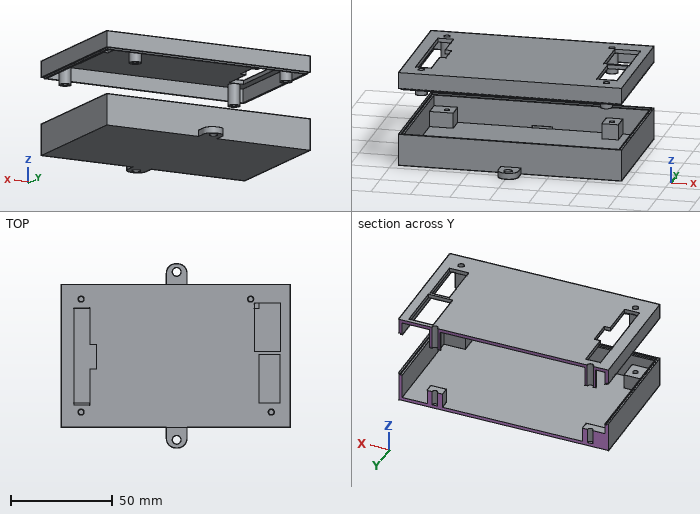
import cadquery as cq

BOX_LENGTH = 113.0
BOX_WIDTH = 70.6
WALL = 2.0
STEP_WIDTH = WALL / 2
STEP_HEIGHT = 0.8
TOTAL_HEIGHT = 48.0

LEFT_SCREW_X = 9.8
BACK_RIGHT_SCREW_X = 93.5
FRONT_RIGHT_SCREW_X = 103.6
FRONT_SCREW_Y = 7.6
BACK_SCREW_Y = 63.3
SCREW_POINTS = [
    (LEFT_SCREW_X, FRONT_SCREW_Y),
    (LEFT_SCREW_X, BACK_SCREW_Y),
    (BACK_RIGHT_SCREW_X, BACK_SCREW_Y),
    (FRONT_RIGHT_SCREW_X, FRONT_SCREW_Y),
]

TRAY_HEIGHT = 16.0
BLOCK_TOP = 9.8
BLOCK_REACH_X = 4.2
BLOCK_REACH_Y = 4.5
PILOT_DIAMETER = 2.6

TAB_CENTER_X = 57.0
TAB_WIDTH = 10.3
TAB_LENGTH = 10.2
TAB_THICKNESS = 3.2
TAB_INNER_LEDGE = 0.2
TAB_CORNER_RADIUS = 4.7
TAB_HOLE_DIAMETER = 4.2
TAB_HOLE_FROM_TIP = 4.1

LID_HEIGHT = 8.2
LID_SHOULDER_Z = TOTAL_HEIGHT - LID_HEIGHT
LID_CEILING_Z = TOTAL_HEIGHT - WALL
POST_DIAMETER = 6.0
POST_DROP = 4.4
CLEARANCE_DIAMETER = 3.0

LEFT_WINDOW = (6.2, 14.1, 11.0, 59.0)
KEY_NOTCH = (14.1, 17.3, 28.8, 41.0)
BACK_RIGHT_WINDOW = (95.3, 108.3, 37.4, 61.4)
FRONT_RIGHT_WINDOW = (97.6, 107.9, 12.1, 35.9)


def block(x_start, x_end, y_start, y_end, z_start, z_end):
    """Box given by its limits along each axis."""
    size = (x_end - x_start, y_end - y_start, z_end - z_start)
    return cq.Workplane("XY").box(*size, centered=False).translate((x_start, y_start, z_start))


def inset_block(inset, z_start, z_end):
    """Box with the outline of the enclosure, drawn in by an inset on all four sides."""
    return block(inset, BOX_LENGTH - inset, inset, BOX_WIDTH - inset, z_start, z_end)


def screw_cylinders(diameter, z_start, z_end):
    """One upright cylinder on each screw axis."""
    plane = cq.Workplane("XY").workplane(offset=z_start)
    return plane.pushPoints(SCREW_POINTS).circle(diameter / 2).extrude(z_end - z_start)


def screw_block(x, y):
    """Tray block under one screw, merged with the floor and the walls it stands against."""
    x_start = x - BLOCK_REACH_X
    x_end = x + BLOCK_REACH_X
    y_start = y - BLOCK_REACH_Y
    y_end = y + BLOCK_REACH_Y
    if x == LEFT_SCREW_X:
        x_start = 0
    if x == FRONT_RIGHT_SCREW_X:
        x_end = BOX_LENGTH
    if y == FRONT_SCREW_Y:
        y_start = 0
    else:
        y_end = BOX_WIDTH
    return block(x_start, x_end, y_start, y_end, 0, BLOCK_TOP)


def front_tab():
    """Mounting tab with a rounded tip, whose root passes through the front wall."""
    x_start = TAB_CENTER_X - TAB_WIDTH / 2
    x_end = TAB_CENTER_X + TAB_WIDTH / 2
    tab = block(x_start, x_end, -TAB_LENGTH, WALL + TAB_INNER_LEDGE, 0, TAB_THICKNESS)
    tab = tab.edges("|Z and <Y").fillet(TAB_CORNER_RADIUS)
    hole = (
        cq.Workplane("XY")
        .center(TAB_CENTER_X, TAB_HOLE_FROM_TIP - TAB_LENGTH)
        .circle(TAB_HOLE_DIAMETER / 2)
        .extrude(TAB_THICKNESS)
    )
    return tab.cut(hole)


def make_tray():
    """Open tray with a stepped rim, four screw blocks and two mounting tabs."""
    tray = inset_block(0, 0, TRAY_HEIGHT)
    tray = tray.cut(inset_block(WALL, WALL, TRAY_HEIGHT))
    tray = tray.cut(inset_block(STEP_WIDTH, TRAY_HEIGHT - STEP_HEIGHT, TRAY_HEIGHT))
    for x, y in SCREW_POINTS:
        tray = tray.union(screw_block(x, y))
    tray = tray.cut(screw_cylinders(PILOT_DIAMETER, WALL, BLOCK_TOP))
    tab = front_tab()
    mirror_point = (0, BOX_WIDTH / 2, 0)
    return tray.union(tab).union(tab.mirror("XZ", mirror_point))


def make_lid():
    """Hollow lid with a lip, four drilled posts and three windows."""
    lip_bottom = LID_SHOULDER_Z - STEP_HEIGHT
    post_bottom = LID_SHOULDER_Z - POST_DROP
    lid = inset_block(0, LID_SHOULDER_Z, TOTAL_HEIGHT)
    lid = lid.union(inset_block(STEP_WIDTH, lip_bottom, LID_SHOULDER_Z))
    lid = lid.cut(inset_block(WALL, lip_bottom, LID_CEILING_Z))
    lid = lid.union(screw_cylinders(POST_DIAMETER, post_bottom, LID_CEILING_Z))
    lid = lid.cut(screw_cylinders(CLEARANCE_DIAMETER, post_bottom, TOTAL_HEIGHT))
    for window in (LEFT_WINDOW, KEY_NOTCH, BACK_RIGHT_WINDOW, FRONT_RIGHT_WINDOW):
        lid = lid.cut(block(*window, LID_CEILING_Z, TOTAL_HEIGHT))
    return lid


tray = make_tray()
lid = make_lid()
result = cq.Compound.makeCompound([tray.val(), lid.val()])